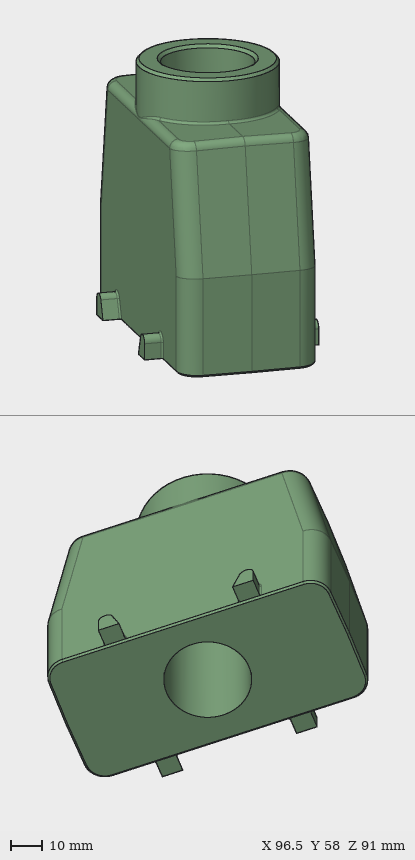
import cadquery as cq
import math

LENGTH = 96.5
BODY_WIDTH = 45.9
BODY_HEIGHT = 75.9
SHOULDER_HEIGHT = 32.8
SIDE_SLOPE = 10.0
DRAFT = 1.0
CORNER_RADIUS = 6.9
ROOF_RADIUS = 2.9
RIM_BEVEL = 0.7
SKIRT = 1.9

CLEARANCE = 0.1

TOTAL_HEIGHT = 91.0
COLLAR_RADIUS = 22.9
COLLAR_CHAMFER = 1.0
COLLAR_ROOT_RADIUS = 0.9
ENTRY_RADIUS = 15.1
ENTRY_CHAMFER = 1.1
ENTRY_DEPTH = 15.15
THROUGH_RADIUS = 14.0

PEG_SPAN = 58.0
PEG_OUTER_X = 26.3
PEG_TIP_RADIUS = 2.4
PEG_TIP_HEIGHT = 8.5
PEG_FLANK_ANGLE = 20.5
PEG_ROOT_RADIUS = 0.6


def make_body():
    """Round one drafted half, then mirror it across the mid plane."""
    half_length = LENGTH / 2
    half_roof = half_length - (BODY_HEIGHT - SHOULDER_HEIGHT) * math.tan(math.radians(SIDE_SLOPE))
    front_half = (
        cq.Workplane("XZ")
        .polyline([
            (-half_length, -SKIRT),
            (half_length, -SKIRT),
            (half_length, SHOULDER_HEIGHT),
            (half_roof, BODY_HEIGHT),
            (-half_roof, BODY_HEIGHT),
            (-half_length, SHOULDER_HEIGHT),
        ])
        .close()
        .extrude(BODY_WIDTH / 2, taper=DRAFT)
    )
    skirt = cq.Workplane("XY").rect(2 * LENGTH, 2 * BODY_WIDTH).extrude(-SKIRT)
    front_half = (
        front_half.cut(skirt)
        .faces("<Y").edges("not |X").fillet(CORNER_RADIUS)
        .faces(">Z").edges("not (>Y)").fillet(ROOF_RADIUS)
        .faces("<Z").edges("not (>Y)").chamfer(RIM_BEVEL)
    )
    return front_half.union(front_half.mirror("XZ"))


def add_collar(body):
    """Cylindrical collar that blends into the roof and its rounded rim."""
    collar = (
        cq.Workplane("XY", origin=(0, 0, SHOULDER_HEIGHT))
        .circle(COLLAR_RADIUS)
        .extrude(TOTAL_HEIGHT - SHOULDER_HEIGHT)
        .faces(">Z").chamfer(COLLAR_CHAMFER)
    )
    reach = COLLAR_RADIUS + CLEARANCE
    root = cq.selectors.BoxSelector(
        (-reach, -reach, SHOULDER_HEIGHT + CLEARANCE),
        (reach, reach, BODY_HEIGHT + CLEARANCE),
        boundingbox=True,
    )
    return body.union(collar).edges(root).fillet(COLLAR_ROOT_RADIUS)


def make_bore():
    """Bore through the whole part, with a wider chamfered entry at the top."""
    entry_floor = TOTAL_HEIGHT - ENTRY_DEPTH
    return (
        cq.Workplane("XZ")
        .polyline([
            (0, 0),
            (THROUGH_RADIUS, 0),
            (THROUGH_RADIUS, entry_floor),
            (ENTRY_RADIUS, entry_floor),
            (ENTRY_RADIUS, TOTAL_HEIGHT - ENTRY_CHAMFER),
            (ENTRY_RADIUS + ENTRY_CHAMFER, TOTAL_HEIGHT),
            (0, TOTAL_HEIGHT),
        ])
        .close()
        .revolve(360, (0, 0), (0, 1))
    )


def add_pegs(body):
    """Mirrored pair of round-topped pegs running out of both long faces."""
    lean = math.radians(PEG_FLANK_ANGLE)
    tip_x = PEG_OUTER_X - PEG_TIP_RADIUS
    tip_z = PEG_TIP_HEIGHT - PEG_TIP_RADIUS
    flank_x = tip_x - PEG_TIP_RADIUS * math.cos(lean)
    flank_z = tip_z + PEG_TIP_RADIUS * math.sin(lean)
    foot_x = flank_x - (flank_z - RIM_BEVEL) * math.tan(lean)
    peg = (
        cq.Workplane("XZ")
        .moveTo(PEG_OUTER_X, RIM_BEVEL)
        .lineTo(PEG_OUTER_X, tip_z)
        .threePointArc((tip_x, PEG_TIP_HEIGHT), (flank_x, flank_z))
        .lineTo(foot_x, RIM_BEVEL)
        .close()
        .extrude(PEG_SPAN / 2, both=True)
    )
    body = body.union(peg).union(peg.mirror("YZ"))

    for side in (-1, 1):
        for face in (-1, 1):
            face_y = face * BODY_WIDTH / 2
            root = cq.selectors.BoxSelector(
                (side * (foot_x - CLEARANCE), face_y - CLEARANCE, RIM_BEVEL + CLEARANCE),
                (side * (PEG_OUTER_X + CLEARANCE), face_y + CLEARANCE, PEG_TIP_HEIGHT + CLEARANCE),
            )
            body = body.edges(root).fillet(PEG_ROOT_RADIUS)
    return body


result = add_pegs(add_collar(make_body())).cut(make_bore())